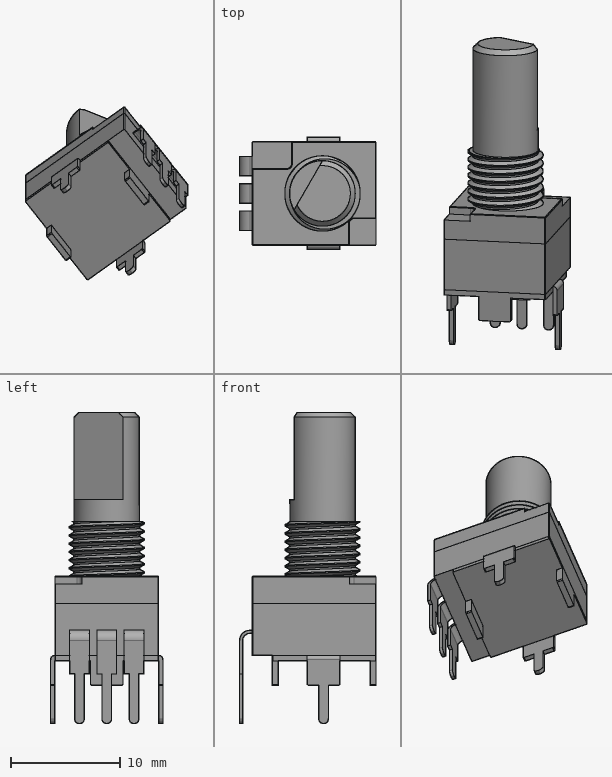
import cadquery as cq
import math


housing_x_min = -6.45
housing_x_max = 4.9
housing_width = 9.5
housing_length = housing_x_max - housing_x_min
housing_center_x = (housing_x_max + housing_x_min) / 2
base_height = 4.75
cover_height = 2.5
cover_top = base_height + cover_height
edge_chamfer = 0.07

notch_depth = 0.7
left_notch_x = -2.83
left_notch_y = 2.28
right_notch_x = 2.45
right_notch_y = -2.3
notch_corner_radius = 0.45

bushing_height = 5.0
bushing_top = cover_top + bushing_height
root_diameter = 6.05
crest_diameter = 6.91
thread_pitch = 0.75
crest_flat = 0.1
flank_angle = 30.0
end_turns = 2
ridge_embed = 0.05
crest_height_at_x_axis = 0.53

shaft_diameter = 6.0
shaft_length = 10.0
shaft_chamfer = 0.45
flat_length = 8.0
flat_distance = 1.5
flat_direction = 150.0

leg_bottom = -6.25
leg_width = 0.9
leg_tip_radius = 0.44

terminal_pitch = 2.5
terminal_count = 3
terminal_thickness = 0.3
terminal_width = 1.8
terminal_reach = 1.15
terminal_top = 2.3
terminal_bend_radius = 0.95
terminal_shoulder = -1.7

bracket_x_min = -4.6
bracket_x_max = housing_x_max
leg_tab_x = 0.1
plate_thickness = 0.5
tab_width = 3.0
tab_bottom = -2.75
tab_corner_chamfer = 0.1
short_tab_thickness = 0.55
leg_tab_thickness = 0.4
leg_tab_bend_radius = 0.39


def block(x_min, x_max, y_min, y_max, z_min, z_max):
    """A box given by its limits along each axis."""
    size = (x_max - x_min, y_max - y_min, z_max - z_min)
    return cq.Workplane("XY").box(*size, centered=False).translate((x_min, y_min, z_min))


def housing_block(bottom, height):
    """A layer of the housing with its upright edges broken."""
    layer = cq.Workplane("XY", origin=(housing_center_x, 0, bottom))
    layer = layer.rect(housing_length, housing_width).extrude(height)
    return layer.edges("|Z").chamfer(edge_chamfer)


def make_base():
    return housing_block(0, base_height)


def make_cover():
    half_width = housing_width / 2
    floor = cover_top - notch_depth
    left_notch = block(housing_x_min, left_notch_x, left_notch_y, half_width, floor, cover_top)
    left_notch = left_notch.edges("|Z and >X and <Y").fillet(notch_corner_radius)
    right_notch = block(right_notch_x, housing_x_max, -half_width, right_notch_y, floor, cover_top)
    right_notch = right_notch.edges("|Z and <X and >Y").fillet(notch_corner_radius)
    cover = housing_block(base_height, cover_height).cut(left_notch).cut(right_notch)
    return cover.faces(">Z").edges().chamfer(edge_chamfer)


def make_bushing():
    """Cylindrical core with a right-hand thread, cut off flat at both ends."""
    core_radius = root_diameter / 2
    ridge_foot = core_radius - ridge_embed
    crest_radius = crest_diameter / 2
    half_crest = crest_flat / 2
    half_foot = half_crest + (crest_radius - ridge_foot) * math.tan(math.radians(flank_angle))

    start = cover_top + crest_height_at_x_axis - end_turns * thread_pitch
    helix_height = bushing_height + 2 * end_turns * thread_pitch
    helix = cq.Wire.makeHelix(thread_pitch, helix_height, core_radius).translate(cq.Vector(0, 0, start))
    ridge = cq.Workplane("XZ", origin=(0, 0, start)).polyline([
        (ridge_foot, -half_foot),
        (crest_radius, -half_crest),
        (crest_radius, half_crest),
        (ridge_foot, half_foot),
    ]).close().sweep(cq.Workplane(obj=helix), isFrenet=True)

    envelope = cq.Workplane("XY", origin=(0, 0, cover_top)).circle(crest_diameter).extrude(bushing_height)
    core = cq.Workplane("XY", origin=(0, 0, cover_top)).circle(core_radius).extrude(bushing_height)
    return core.union(ridge.intersect(envelope))


def make_shaft():
    """D-shaft standing on the bushing."""
    shaft = cq.Workplane("XY", origin=(0, 0, bushing_top)).circle(shaft_diameter / 2).extrude(shaft_length)
    shaft = shaft.faces(">Z").edges().chamfer(shaft_chamfer)
    shaft_top = bushing_top + shaft_length
    flat_cut = block(flat_distance, shaft_diameter, -shaft_diameter, shaft_diameter,
                     shaft_top - flat_length, shaft_top)
    return shaft.cut(flat_cut.rotate((0, 0, 0), (0, 0, 1), flat_direction))


def make_terminal(y):
    """Strip leaving the -X face of the base and bending down into a leg."""
    outer_x = housing_x_min - terminal_reach
    inner_x = outer_x + terminal_thickness
    bend_x = outer_x + terminal_bend_radius
    bend_z = terminal_top - terminal_bend_radius
    inner_radius = terminal_bend_radius - terminal_thickness
    diagonal = math.sqrt(0.5)
    strip = (
        cq.Workplane("XZ")
        .moveTo(housing_x_min, terminal_top)
        .lineTo(bend_x, terminal_top)
        .threePointArc(
            (bend_x - terminal_bend_radius * diagonal, bend_z + terminal_bend_radius * diagonal),
            (outer_x, bend_z),
        )
        .lineTo(outer_x, leg_bottom)
        .lineTo(inner_x, leg_bottom)
        .lineTo(inner_x, bend_z)
        .threePointArc(
            (bend_x - inner_radius * diagonal, bend_z + inner_radius * diagonal),
            (bend_x, terminal_top - terminal_thickness),
        )
        .lineTo(housing_x_min, terminal_top - terminal_thickness)
        .close()
        .extrude(terminal_width / 2, both=True)
        .translate((0, y, 0))
    )
    head = block(outer_x, housing_x_min, y - terminal_width / 2, y + terminal_width / 2,
                 terminal_shoulder, terminal_top)
    leg = block(outer_x, housing_x_min, y - leg_width / 2, y + leg_width / 2,
                leg_bottom, terminal_shoulder)
    leg = leg.edges("|X and <Z").fillet(leg_tip_radius)
    return strip.intersect(head.union(leg))


def make_leg_tab():
    """Tab along the -Y edge of the bracket plate: rounded bend, wide head and a leg."""
    inner_y = -housing_width / 2
    outer_y = inner_y - leg_tab_thickness
    half_tab = tab_width / 2
    half_leg = leg_width / 2
    head = block(leg_tab_x - half_tab, leg_tab_x + half_tab, outer_y, inner_y,
                 tab_bottom, 0)
    head = head.edges("|Y and <Z").chamfer(tab_corner_chamfer)
    leg = block(leg_tab_x - half_leg, leg_tab_x + half_leg, outer_y, inner_y,
                leg_bottom, tab_bottom)
    leg = leg.edges("|Y and <Z").fillet(leg_tip_radius)
    return head.edges("|X and >Z and <Y").fillet(leg_tab_bend_radius).union(leg)


def make_short_tab(x_min):
    """Plain tab hanging from an X end of the bracket plate."""
    tab = block(x_min, x_min + short_tab_thickness, -tab_width / 2, tab_width / 2,
                tab_bottom, -plate_thickness)
    return tab.edges("|X and <Z").chamfer(tab_corner_chamfer)


def make_bracket():
    plate = block(bracket_x_min, bracket_x_max, -housing_width / 2, housing_width / 2,
                  -plate_thickness, 0)
    plate = plate.edges("|Z").chamfer(edge_chamfer)
    leg_tab = make_leg_tab()
    bracket = plate.union(leg_tab).union(leg_tab.mirror("XZ"))
    for x_min in (bracket_x_min, bracket_x_max - short_tab_thickness):
        bracket = bracket.union(make_short_tab(x_min))
    return bracket


base = make_base()
cover = make_cover()
bushing = make_bushing()
shaft = make_shaft()
bracket = make_bracket()
terminals = [
    make_terminal((index - (terminal_count - 1) / 2) * terminal_pitch)
    for index in range(terminal_count)
]

result = cq.Compound.makeCompound([
    base.val(),
    cover.val(),
    bushing.val(),
    shaft.val(),
    bracket.val(),
    *[terminal.val() for terminal in terminals],
])